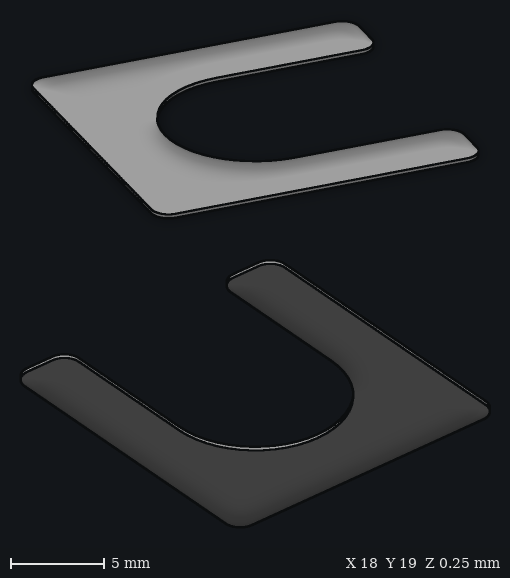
import cadquery as cq

width = 18.0
length = 19.0
thickness = 0.25
corner_radius = 1.0

slot_width = 10.5
slot_radius = slot_width / 2

plate = cq.Workplane("XY").rect(width, length).extrude(thickness)

slot = (
    cq.Workplane("XY")
    .moveTo(-slot_radius, length / 2)
    .lineTo(-slot_radius, 0)
    .threePointArc((0, -slot_radius), (slot_radius, 0))
    .lineTo(slot_radius, length / 2)
    .close()
    .extrude(thickness)
)

tip_corners = cq.selectors.BoxSelector(
    (-width, length / 2 - corner_radius, -thickness),
    (width, length / 2 + corner_radius, 2 * thickness),
)
result = (
    plate.edges("|Z and <Y")
    .fillet(corner_radius)
    .cut(slot)
    .edges("|Z")
    .edges(tip_corners)
    .fillet(corner_radius)
)